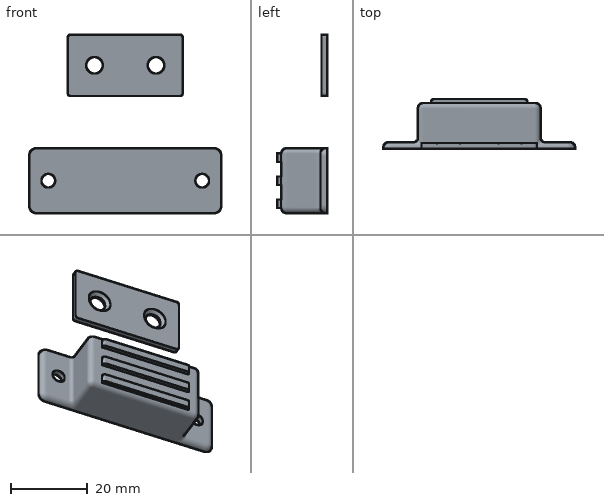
import cadquery as cq
import math

flange_length = 50.0
height = 17.0
flange_thickness = 1.8
flange_corner_radius = 2.0
flange_edge_radius = 1.5
flange_hole_diameter = 3.5
flange_hole_spacing = 40.0

box_length = 32.0
box_depth = 12.0
box_edge_radius = 1.5
root_fillet_radius = 1.0

base_pad_length = 30.2
base_pad_corner_radius = 0.7

rib_count = 3
rib_length = 25.0
rib_height = 2.3
rib_depth = 1.0
rib_pitch = 6.0
rib_end_radius = 0.65

plate_length = 30.0
plate_height = 16.0
plate_thickness = 1.5
plate_corner_radius = 0.8
plate_hole_diameter = 4.25
plate_hole_spacing = 16.0
plate_hole_straight_depth = 0.5
countersink_angle = 90.0
plate_center_z = 30.0


def upright_block(length, depth, block_height, corner_radius):
    """Block from Y = 0 towards +Y, with its edges along Y rounded."""
    block = cq.Workplane("XY").box(length, depth, block_height, centered=(True, False, True))
    return block.edges("|Y").fillet(corner_radius)


def hole_pair(spacing, diameter, depth):
    """Two cylinders along +Y, spaced evenly about X = 0."""
    centers = [(-spacing / 2, 0), (spacing / 2, 0)]
    return cq.Workplane("XZ").pushPoints(centers).circle(diameter / 2).extrude(-depth)


def make_rib(center_z):
    """Contact rib on the back of the box, rounded at its two outer ends."""
    rib = cq.Workplane("XY").box(rib_length, rib_depth, rib_height, centered=(True, False, True))
    rib = rib.faces(">Y").edges("|Z").fillet(rib_end_radius)
    return rib.translate((0, box_depth, center_z))


def make_housing():
    flange = upright_block(flange_length, flange_thickness, height, flange_corner_radius)
    flange = flange.faces(">Y").edges().fillet(flange_edge_radius)

    box = upright_block(box_length, box_depth, height, box_edge_radius)
    box = box.faces(">Y").edges().fillet(box_edge_radius)
    housing = flange.union(box)

    root_edges = cq.selectors.BoxSelector(
        (-box_length / 2 - 0.5, flange_thickness - 0.05, -0.5),
        (box_length / 2 + 0.5, flange_thickness + 0.05, 0.5),
    )
    housing = housing.edges(root_edges).fillet(root_fillet_radius)

    base_pad = upright_block(base_pad_length, flange_thickness, height, base_pad_corner_radius)
    housing = housing.union(base_pad)

    for index in range(rib_count):
        center_z = (index - (rib_count - 1) / 2) * rib_pitch
        housing = housing.union(make_rib(center_z))

    return housing.cut(hole_pair(flange_hole_spacing, flange_hole_diameter, flange_thickness))


def countersink(center_x):
    """Cone widening from the straight part of a plate hole to the back face of the plate."""
    depth = plate_thickness - plate_hole_straight_depth
    small_radius = plate_hole_diameter / 2
    large_radius = small_radius + depth * math.tan(math.radians(countersink_angle / 2))
    tip = cq.Vector(center_x, plate_hole_straight_depth, 0)
    return cq.Solid.makeCone(small_radius, large_radius, depth, tip, cq.Vector(0, 1, 0))


def make_counter_plate():
    plate = upright_block(plate_length, plate_thickness, plate_height, plate_corner_radius)
    plate = plate.cut(hole_pair(plate_hole_spacing, plate_hole_diameter, plate_thickness))
    plate = plate.cut(countersink(-plate_hole_spacing / 2)).cut(countersink(plate_hole_spacing / 2))
    return plate.translate((0, 0, plate_center_z))


housing = make_housing()
counter_plate = make_counter_plate()
result = cq.Compound.makeCompound([*housing.solids().vals(), *counter_plate.solids().vals()])